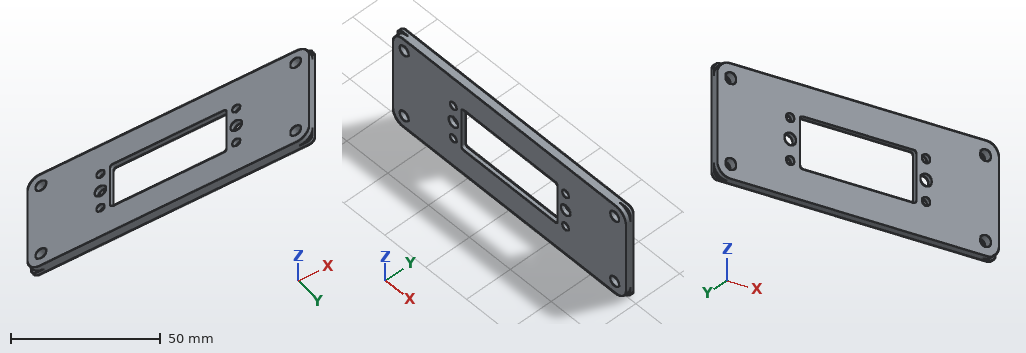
import cadquery as cq

length = 114.0
height = 43.0
thickness = 3.5

front_thickness = 2.0
back_thickness = thickness - front_thickness
front_corner_radius = 5.0
back_corner_radius = front_corner_radius / 2

back_rim_width = 9.1

window_length = 47.0
window_height = 19.6
window_corner_radius = 1.0

mount_diameter = 4.3
mount_spacing_x = 103.0
mount_spacing_z = 31.9

column_spacing_x = 55.0
column_middle_diameter = 4.6
column_outer_diameter = 3.2
column_outer_spacing_z = 16.0

front_y = -thickness / 2
seam_y = front_y + front_thickness


def rounded_block(size_x, size_z, depth, radius, start_y):
    """Block with rounded corners, running from start_y towards +Y."""
    block = cq.Workplane("XY").box(size_x, depth, size_z)
    return block.edges("|Y").fillet(radius).translate((0, start_y + depth / 2, 0))


def hole_grid(spacing_x, spacing_z, rows, diameter, depth, start_y):
    """Hole cutters in two columns, running from start_y towards +Y."""
    plane = cq.Workplane("XZ", origin=(0, start_y, 0))
    return plane.rarray(spacing_x, spacing_z, 2, rows).circle(diameter / 2).extrude(-depth)


def mount_holes(depth, start_y):
    """Cutters for the four corner mounting holes of one layer."""
    return hole_grid(mount_spacing_x, mount_spacing_z, 2, mount_diameter, depth, start_y)


def make_front_layer():
    """Face plate with the window and all of the holes."""
    plate = rounded_block(length, height, front_thickness, front_corner_radius, front_y)
    window = rounded_block(window_length, window_height, front_thickness, window_corner_radius, front_y)
    middle_holes = hole_grid(column_spacing_x, height, 1, column_middle_diameter, front_thickness, front_y)
    outer_holes = hole_grid(
        column_spacing_x, column_outer_spacing_z, 2, column_outer_diameter, front_thickness, front_y
    )
    plate = plate.cut(window).cut(middle_holes).cut(outer_holes)
    return plate.cut(mount_holes(front_thickness, front_y))


def make_back_layer():
    """Open frame that carries the mounting holes in its corners."""
    frame = rounded_block(length, height, back_thickness, back_corner_radius, seam_y)
    opening = cq.Workplane("XY").box(
        length - 2 * back_rim_width, back_thickness, height - 2 * back_rim_width
    ).translate((0, seam_y + back_thickness / 2, 0))
    return frame.cut(opening).cut(mount_holes(back_thickness, seam_y))


result = make_front_layer().union(make_back_layer(), clean=False)